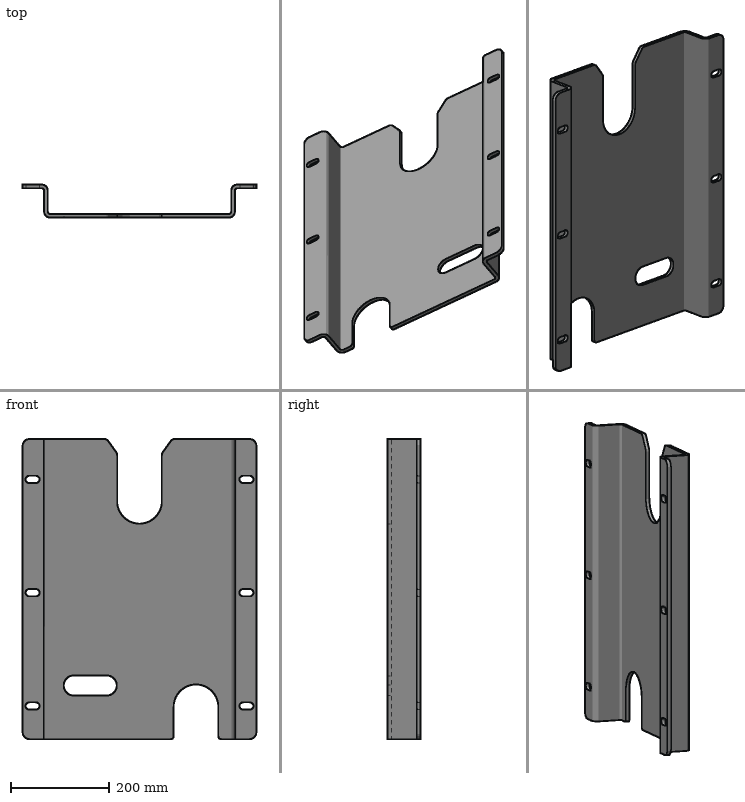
import cadquery as cq

width = 477.0
depth = 68.0
height = 612.0

thickness = 8.0
inner_bend = 5.0
outer_bend = inner_bend + thickness
panel_half_width = 194.5
flange_corner_radius = 14.5

mount_slot_length = 28.0
mount_slot_height = 14.0
mount_slot_x = 218.0
mount_slot_pitch = 231.0
lowest_mount_slot_z = 68.0
mount_slot_rows = 3

notch_width = 90.5
notch_radius = notch_width / 2
upper_notch_depth = 172.5
mouth_half_width = 67.0
mouth_depth = 30.0
mouth_corner_radius = 10.0
lower_notch_x = 115.0
lower_notch_depth = 111.5
lower_notch_corner_radius = 6.0

window_length = 108.0
window_height = 40.5
window_x = -100.5
window_z = 109.5

cut_length = 2 * depth


def elevation_plane():
    """XZ plane in front of the bracket, with its normal pointing along +Y."""
    return cq.Workplane("XZ", origin=(0, -depth, 0))


def bent_sheet():
    """Hat section extruded upwards: panel at Y = 0, flanges at the back."""
    half = width / 2
    inside = panel_half_width - thickness
    flange_front = depth - thickness
    profile = (
        cq.Workplane("XY")
        .polyline([
            (-half, depth), (-inside, depth), (-inside, thickness),
            (inside, thickness), (inside, depth), (half, depth),
            (half, flange_front), (panel_half_width, flange_front),
            (panel_half_width, 0), (-panel_half_width, 0),
            (-panel_half_width, flange_front), (-half, flange_front),
        ])
        .close()
        .extrude(height)
    )

    def bend_edges(x, y):
        margin = thickness / 4
        for side in (-1, 1):
            yield cq.selectors.BoxSelector(
                (side * x - margin, y - margin, 0),
                (side * x + margin, y + margin, height),
            )

    bends = (
        (inside, depth, outer_bend),
        (panel_half_width, flange_front, inner_bend),
        (inside, thickness, inner_bend),
        (panel_half_width, 0, outer_bend),
    )
    for x, y, radius in bends:
        for selector in bend_edges(x, y):
            profile = profile.edges("|Z").edges(selector).fillet(radius)

    return profile.edges("|Y and (<X or >X)").fillet(flange_corner_radius)


def slot_cutter(length, slot_height, x, z):
    """Horizontal slot with full-radius ends."""
    return elevation_plane().center(x, z).slot2D(length, slot_height).extrude(-cut_length)


def notch_cutter(x, edge_z, notch_depth, direction):
    """Parallel-sided notch, running from an edge to a semicircular end."""
    arc_z = edge_z + direction * (notch_depth - notch_radius)
    tip_z = edge_z + direction * notch_depth
    return (
        elevation_plane()
        .moveTo(x - notch_radius, edge_z)
        .lineTo(x - notch_radius, arc_z)
        .threePointArc((x, tip_z), (x + notch_radius, arc_z))
        .lineTo(x + notch_radius, edge_z)
        .close()
        .extrude(-cut_length)
    )


def mouth_cutter():
    """Tapered opening that widens the upper notch at the top edge."""
    mouth_bottom = height - mouth_depth
    return (
        elevation_plane()
        .polyline([
            (-mouth_half_width, height), (-notch_radius, mouth_bottom),
            (notch_radius, mouth_bottom), (mouth_half_width, height),
        ])
        .close()
        .extrude(-cut_length)
    )


def round_panel_corners(body, x_positions, z, radius):
    """Round the through-thickness panel edges at the given X positions."""
    margin = thickness / 4
    for x in x_positions:
        corner = cq.selectors.BoxSelector(
            (x - margin, 0, z - margin),
            (x + margin, thickness, z + margin),
        )
        body = body.edges("|Y").edges(corner).fillet(radius)
    return body


result = bent_sheet()

for row in range(mount_slot_rows):
    slot_z = lowest_mount_slot_z + row * mount_slot_pitch
    for slot_x in (-mount_slot_x, mount_slot_x):
        result = result.cut(slot_cutter(mount_slot_length, mount_slot_height, slot_x, slot_z))

result = result.cut(slot_cutter(window_length, window_height, window_x, window_z))

result = result.cut(notch_cutter(0, height, upper_notch_depth, -1))
result = result.cut(mouth_cutter())
mouth_corners = (
    (mouth_half_width, height),
    (notch_radius, height - mouth_depth),
)
for corner_x, corner_z in mouth_corners:
    result = round_panel_corners(result, (-corner_x, corner_x), corner_z, mouth_corner_radius)

result = result.cut(notch_cutter(lower_notch_x, 0, lower_notch_depth, 1))
lower_corners = (lower_notch_x - notch_radius, lower_notch_x + notch_radius)
result = round_panel_corners(result, lower_corners, 0, lower_notch_corner_radius)